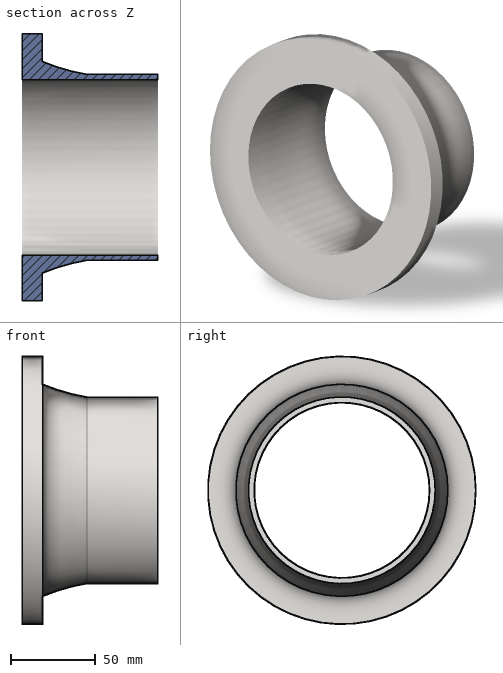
import cadquery as cq

total_length = 80.0
flange_diameter = 158.0
flange_thickness = 12.0
neck_base_diameter = 125.0
pipe_diameter = 110.0
bore_diameter = 103.2
neck_end = 38.0
neck_sag = 0.8

flange_radius = flange_diameter / 2
neck_base_radius = neck_base_diameter / 2
pipe_radius = pipe_diameter / 2
bore_radius = bore_diameter / 2

neck_middle = (
    (flange_thickness + neck_end) / 2,
    (neck_base_radius + pipe_radius) / 2 - neck_sag,
)


def make_collar():
    """Revolve the half section (X along the axis, Y as radius) about X."""
    half_section = (
        cq.Workplane("XY")
        .moveTo(0, bore_radius)
        .lineTo(0, flange_radius)
        .lineTo(flange_thickness, flange_radius)
        .lineTo(flange_thickness, neck_base_radius)
        .threePointArc(neck_middle, (neck_end, pipe_radius))
        .lineTo(total_length, pipe_radius)
        .lineTo(total_length, bore_radius)
        .close()
    )
    return half_section.revolve(360, (0, 0, 0), (1, 0, 0))


result = make_collar()